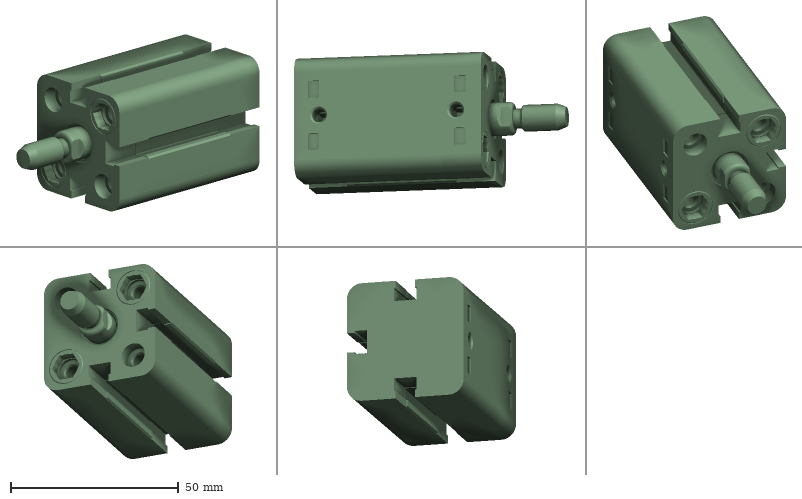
import cadquery as cq
import math


SIDE = 36.3
CORNER_RADIUS = 4.6
FRONT_LENGTH = 12.0
BARREL_LENGTH = 33.35
REAR_LENGTH = 11.8
OVERALL_LENGTH = 79.6
HOUSING_LENGTH = FRONT_LENGTH + BARREL_LENGTH + REAR_LENGTH
HALF_SIDE = SIDE / 2

SLOT_ANGLES = (0, 90, 180)
SLOT_LIP = 2.4
COVER_MOUTH_WIDTH = 6.0
COVER_POCKET_WIDTH = 7.1
COVER_SLOT_DEPTH = 6.2
BARREL_MOUTH_WIDTH = 5.4
BARREL_POCKET_WIDTH = 6.9
BARREL_SLOT_DEPTH = 6.0
BARREL_LIP_CHAMFER = 0.55
BARREL_POCKET_CHAMFER = 0.2

HOLE_OFFSET = 11.0
HOLE_DIAMETER = 7.6
HOLE_DEPTH = 4.3
THREAD_DIAMETER = 4.1
COUNTERSINK_DIAMETER = 5.2
PLAIN_HOLES = ((-HOLE_OFFSET, HOLE_OFFSET), (HOLE_OFFSET, -HOLE_OFFSET))
SOCKET_HOLES = ((HOLE_OFFSET, HOLE_OFFSET), (-HOLE_OFFSET, -HOLE_OFFSET))
SOCKET_DIAMETER = 8.0
SOCKET_HEX_CORNERS = 9.0
SOCKET_DEPTH = 3.2
GROOVE_OUTER_DIAMETER = 11.1
GROOVE_INNER_DIAMETER = 10.5
GROOVE_DEPTH = 0.28

BORE_RIM_DIAMETER = 12.0
BORE_RECESS_DIAMETER = 11.4
BORE_RECESS_DEPTH = 0.5
BORE_LEAD_DIAMETER = 10.9
COLLAR_DIAMETER = 10.0

FRONT_PORT_Y = 7.7
REAR_PORT_Y = HOUSING_LENGTH - 7.5
PORT_DEPTH = 6.4
PASSAGE_HEIGHT = 3.2
FRONT_PASSAGE_WIDTH = 4.8
PASSAGE_OVERRUN = 0.8
PASSAGE_INNER_RADIUS = COLLAR_DIAMETER / 2 - PASSAGE_OVERRUN

LABEL_HEIGHT = 5.1
LABEL_WIDTH = 3.3
LABEL_DEPTH = 0.5
LABEL_OFFSET = 7.95
FRONT_LABEL_Y = 6.4
REAR_LABEL_Y = HOUSING_LENGTH - 6.05

COLLAR_LENGTH = 6.5
COLLAR_ROUND = 1.2
FLAT_WIDTH = 8.0
FLAT_START = 3.1
NECK_DIAMETER = 6.0
NECK_END = 8.6
NECK_FILLET = 0.4
STUD_DIAMETER = 8.0
STUD_START = 9.55
STUD_LEAD_RADIUS = 3.5
TAPER_START = 19.75
TIP_DIAMETER = 6.0
ROD_REACH = OVERALL_LENGTH - HOUSING_LENGTH


def extrude_along_y(sketch_points, start, length):
    """Prism of an XZ outline from Y = start to start + length."""
    plane = cq.Workplane("XZ", origin=(0, start, 0))
    return plane.polyline(sketch_points).close().extrude(-length)


def revolve_about_y(profile, x=0.0, z=0.0):
    """Solid of revolution about a line parallel to Y from (radius, y) points."""
    turned = cq.Workplane("XY").polyline(profile).close().revolve(360, (0, 0, 0), (0, 1, 0))
    return turned.translate((x, 0, z))


def rounded_block(start, length):
    block = cq.Workplane("XY").box(SIDE, length, SIDE).edges("|Y").fillet(CORNER_RADIUS)
    return block.translate((0, start + length / 2, 0))


def cut_slots(body, outline, start, length):
    """Cut the slot outline, drawn for the +Z side, into every slotted side."""
    slot = extrude_along_y(outline, start, length)
    for angle in SLOT_ANGLES:
        body = body.cut(slot.rotate((0, 0, 0), (0, 1, 0), angle))
    return body


def mirrored_outline(right_half):
    return right_half + [(-x, z) for x, z in reversed(right_half)]


def cover_slot_outline():
    mouth = COVER_MOUTH_WIDTH / 2
    pocket = COVER_POCKET_WIDTH / 2
    lip_z = HALF_SIDE - SLOT_LIP
    floor_z = HALF_SIDE - COVER_SLOT_DEPTH
    return mirrored_outline([(mouth, HALF_SIDE), (mouth, lip_z), (pocket, lip_z), (pocket, floor_z)])


def barrel_slot_outline():
    mouth = BARREL_MOUTH_WIDTH / 2
    pocket = BARREL_POCKET_WIDTH / 2
    lip_z = HALF_SIDE - SLOT_LIP
    floor_z = HALF_SIDE - BARREL_SLOT_DEPTH
    return mirrored_outline([
        (mouth + BARREL_LIP_CHAMFER, HALF_SIDE),
        (mouth, HALF_SIDE - BARREL_LIP_CHAMFER),
        (mouth, lip_z),
        (pocket - BARREL_POCKET_CHAMFER, lip_z),
        (pocket, lip_z - BARREL_POCKET_CHAMFER),
        (pocket, floor_z + BARREL_POCKET_CHAMFER),
        (pocket - BARREL_POCKET_CHAMFER, floor_z),
    ])


def mounting_hole(x, z):
    """Plain bore with a countersunk thread hole running on through the cover."""
    bore_radius = HOLE_DIAMETER / 2
    sink_radius = COUNTERSINK_DIAMETER / 2
    thread_radius = THREAD_DIAMETER / 2
    sink_end = HOLE_DEPTH + sink_radius - thread_radius
    return revolve_about_y([
        (0, 0),
        (bore_radius, 0),
        (bore_radius, HOLE_DEPTH),
        (sink_radius, HOLE_DEPTH),
        (thread_radius, sink_end),
        (thread_radius, FRONT_LENGTH),
        (0, FRONT_LENGTH),
    ], x, z)


def socket_recess(x, z):
    """Hexagonal recess whose flats are relieved by a round bore."""
    plane = cq.Workplane("XZ").center(x, z)
    hexagon = plane.polygon(6, SOCKET_HEX_CORNERS).extrude(-SOCKET_DEPTH)
    return hexagon.union(plane.circle(SOCKET_DIAMETER / 2).extrude(-SOCKET_DEPTH))


def socket_groove(x, z):
    """V-groove ringing a socket, its outer wall straight and its inner wall sloped."""
    outer = GROOVE_OUTER_DIAMETER / 2
    return revolve_about_y([(GROOVE_INNER_DIAMETER / 2, 0), (outer, 0), (outer, GROOVE_DEPTH)], x, z)


def rod_bore():
    rim = BORE_RIM_DIAMETER / 2
    recess = BORE_RECESS_DIAMETER / 2
    lead = BORE_LEAD_DIAMETER / 2
    guide = COLLAR_DIAMETER / 2
    return revolve_about_y([
        (0, 0),
        (rim, 0),
        (recess, rim - recess),
        (recess, BORE_RECESS_DEPTH),
        (lead, BORE_RECESS_DEPTH),
        (guide, BORE_RECESS_DEPTH + lead - guide),
        (guide, FRONT_LENGTH),
        (0, FRONT_LENGTH),
    ])


def air_port(y):
    """Countersunk port drilled from the -X side."""
    sink_radius = COUNTERSINK_DIAMETER / 2
    thread_radius = THREAD_DIAMETER / 2
    sink_x = -HALF_SIDE + sink_radius - thread_radius
    floor_x = -HALF_SIDE + PORT_DEPTH
    profile = [
        (-HALF_SIDE, 0),
        (-HALF_SIDE, sink_radius),
        (sink_x, thread_radius),
        (floor_x, thread_radius),
        (floor_x, 0),
    ]
    turned = cq.Workplane("XY").polyline(profile).close().revolve(360, (0, 0, 0), (1, 0, 0))
    return turned.translate((0, y, 0))


def passage(start_y, end_y):
    """Flat passage from the floor of a port inward, ending just inside the rod bore radius."""
    start_x = -HALF_SIDE + PORT_DEPTH
    length = -PASSAGE_INNER_RADIUS - start_x
    box = cq.Workplane("XY").box(length, end_y - start_y, PASSAGE_HEIGHT)
    return box.translate((start_x + length / 2, (start_y + end_y) / 2, 0))


def cut_labels(cover, y):
    for z in (-LABEL_OFFSET, LABEL_OFFSET):
        recess = cq.Workplane("XY").box(2 * LABEL_DEPTH, LABEL_WIDTH, LABEL_HEIGHT)
        cover = cover.cut(recess.translate((-HALF_SIDE, y, z)))
    return cover


def make_front_cover():
    cover = rounded_block(0, FRONT_LENGTH)
    cover = cut_slots(cover, cover_slot_outline(), 0, FRONT_LENGTH)
    for x, z in PLAIN_HOLES + SOCKET_HOLES:
        cover = cover.cut(mounting_hole(x, z))
    for x, z in SOCKET_HOLES:
        cover = cover.cut(socket_recess(x, z)).cut(socket_groove(x, z))
    cover = cover.cut(rod_bore()).cut(air_port(FRONT_PORT_Y))
    half_width = FRONT_PASSAGE_WIDTH / 2
    cover = cover.cut(passage(FRONT_PORT_Y - half_width, FRONT_PORT_Y + half_width))
    return cut_labels(cover, FRONT_LABEL_Y)


def make_barrel():
    barrel = rounded_block(FRONT_LENGTH, BARREL_LENGTH)
    return cut_slots(barrel, barrel_slot_outline(), FRONT_LENGTH, BARREL_LENGTH)


def make_rear_cover():
    start = FRONT_LENGTH + BARREL_LENGTH
    cover = rounded_block(start, REAR_LENGTH)
    cover = cut_slots(cover, cover_slot_outline(), start, REAR_LENGTH)
    cover = cover.cut(air_port(REAR_PORT_Y))
    cover = cover.cut(passage(start, REAR_PORT_Y + PASSAGE_HEIGHT / 2))
    return cut_labels(cover, REAR_LABEL_Y)


def rod_body():
    """Turned rod: rounded collar, undercut neck and stud with a tapered tip."""
    collar = COLLAR_DIAMETER / 2
    neck = NECK_DIAMETER / 2
    stud = STUD_DIAMETER / 2
    diagonal = math.sqrt(0.5)
    round_mid = (
        collar - COLLAR_ROUND * (1 - diagonal),
        -COLLAR_LENGTH + COLLAR_ROUND * (1 - diagonal),
    )
    fillet_mid = (
        neck + NECK_FILLET * (1 - diagonal),
        -NECK_END - NECK_FILLET * diagonal,
    )
    profile = (
        cq.Workplane("XY")
        .moveTo(0, FRONT_LENGTH)
        .lineTo(collar, FRONT_LENGTH)
        .lineTo(collar, -COLLAR_LENGTH + COLLAR_ROUND)
        .threePointArc(round_mid, (collar - COLLAR_ROUND, -COLLAR_LENGTH))
        .lineTo(neck, -COLLAR_LENGTH)
        .lineTo(neck, -NECK_END)
        .threePointArc(fillet_mid, (neck + NECK_FILLET, -NECK_END - NECK_FILLET))
        .lineTo(STUD_LEAD_RADIUS, -NECK_END - NECK_FILLET)
        .lineTo(stud, -STUD_START)
        .lineTo(stud, -TAPER_START)
        .lineTo(TIP_DIAMETER / 2, -ROD_REACH)
        .lineTo(0, -ROD_REACH)
        .close()
    )
    return profile.revolve(360, (0, 0, 0), (0, 1, 0))


def flat_cutter():
    """Wrench-flat cutter for the +X side, with a 45 degree run-out into the collar."""
    inner = FLAT_WIDTH / 2
    outer = COLLAR_DIAMETER / 2
    outline = [
        (inner, -COLLAR_LENGTH),
        (inner, -FLAT_START),
        (outer, -FLAT_START + outer - inner),
        (outer, -COLLAR_LENGTH),
    ]
    return cq.Workplane("XY").polyline(outline).close().extrude(outer, both=True)


def make_rod():
    flat = flat_cutter()
    return rod_body().cut(flat).cut(flat.mirror("YZ"))


front_cover = make_front_cover()
barrel = make_barrel()
rear_cover = make_rear_cover()
rod = make_rod()

result = cq.Compound.makeCompound([front_cover.val(), barrel.val(), rear_cover.val(), rod.val()])